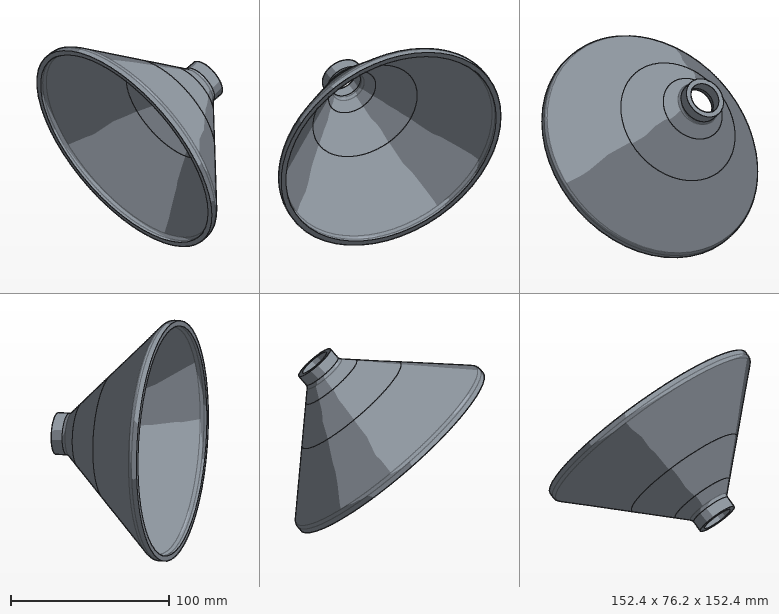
import cadquery as cq
import math

rim_radius = 76.2
total_length = 76.2
neck_radius = 13.3
wall = 3.4
bend_radius = 3.2
neck_length = 7.3
flare_half_angle = 45.0

collar_end = 16.5
middle_end = 36.3

half_turn = math.tan(math.radians(flare_half_angle / 2))
cone_start = total_length - neck_length - bend_radius * half_turn
cone_length = (rim_radius - neck_radius) / math.tan(math.radians(flare_half_angle))
cone_end = cone_start - cone_length
inner_shift = wall * half_turn


def horn_shell():
    """Uniform wall of neck, cone and rim, with every bend rounded."""
    outline = [
        (neck_radius, total_length),
        (neck_radius, cone_start),
        (rim_radius, cone_end),
        (rim_radius, 0),
        (rim_radius - wall, 0),
        (rim_radius - wall, cone_end - inner_shift),
        (neck_radius - wall, cone_start - inner_shift),
        (neck_radius - wall, total_length),
    ]
    shell = cq.Workplane("XY").polyline(outline).close().revolve(360, (0, 0, 0), (0, 1, 0))
    rim_middle = cone_end / 2
    neck_middle = total_length - neck_length / 2
    bends = shell.edges("%CIRCLE").filter(lambda edge: rim_middle < edge.Center().y < neck_middle)
    return bends.fillet(bend_radius)


def shell_section(shell, start, end):
    """Part of the shell between two distances from the open end of the neck."""
    start_plane = cq.Workplane("XZ", origin=(0, total_length - start, 0))
    slab = start_plane.circle(2 * rim_radius).extrude(end - start)
    section = shell.intersect(slab)
    return section.solids()


shell = horn_shell()
neck_tube = shell_section(shell, 0, neck_length)
collar = shell_section(shell, neck_length, collar_end)
middle_cone = shell_section(shell, collar_end, middle_end)
rim_cone = shell_section(shell, middle_end, total_length)

result = cq.Compound.makeCompound([
    neck_tube.val(),
    collar.val(),
    middle_cone.val(),
    rim_cone.val(),
])